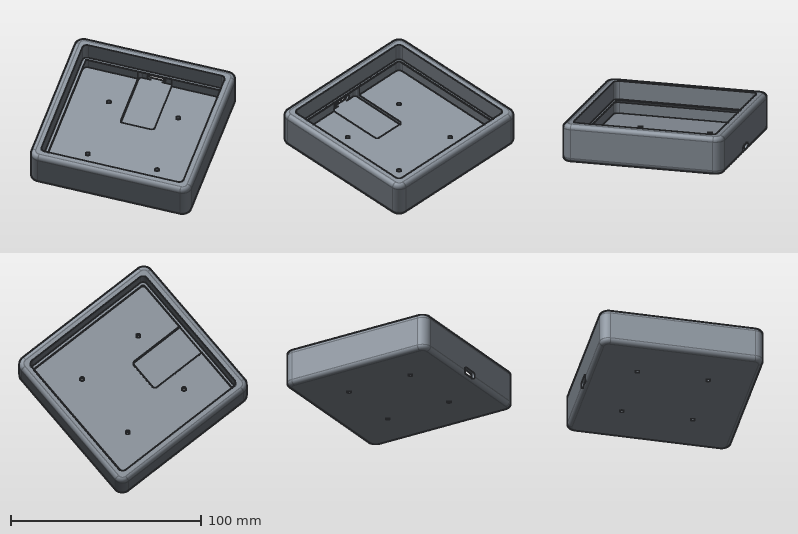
import cadquery as cq

side = 88.2
height = 20.6
corner_radius = 5.0
edge_radius = 2.5

wall = 5.0
lip_width = 1.8
lip_top_depth = 10.0
floor_thickness = 3.0
cavity_corner_radius = 2.5

hole_diameter = 2.2
hole_spacing = 38.1

pocket_width = 18.6
pocket_front_y = 7.1
pocket_depth = 2.0
pocket_recess = 3.0
pocket_corner_radius = 1.5

slot_length = 10.0
slot_height = 3.5

opening_side = side - 2 * wall
lip_z = height - lip_top_depth
pocket_floor_z = floor_thickness - pocket_depth
slot_center_z = pocket_floor_z + slot_height / 2
pocket_top_z = lip_z - lip_width


def rounded_block(width, length, bottom_z, top_z, radius):
    """Centred upright block with rounded vertical edges."""
    block = cq.Workplane("XY").workplane(offset=bottom_z).rect(width, length).extrude(top_z - bottom_z)
    return block.edges("|Z").fillet(radius)


def outer_shell():
    shell = rounded_block(side, side, 0, height, corner_radius)
    return shell.faces("<Z or >Z").edges().fillet(edge_radius)


def cavity():
    upper = rounded_block(opening_side, opening_side, lip_z, height, cavity_corner_radius)
    lower = rounded_block(opening_side, opening_side, floor_thickness, lip_z, cavity_corner_radius)
    lower = lower.faces(">Z").edges().chamfer(lip_width)
    return upper.union(lower)


def screw_holes():
    return (
        cq.Workplane("XY")
        .rect(hole_spacing, hole_spacing, forConstruction=True)
        .vertices()
        .circle(hole_diameter / 2)
        .extrude(floor_thickness)
    )


def connector_pocket():
    back_y = opening_side / 2 + pocket_recess
    length = back_y - pocket_front_y
    pocket = rounded_block(pocket_width, length, pocket_floor_z, pocket_top_z, pocket_corner_radius)
    return pocket.translate((0, (back_y + pocket_front_y) / 2, 0))


def connector_slot():
    return (
        cq.Workplane("XZ")
        .center(0, slot_center_z)
        .workplane(offset=-opening_side / 2)
        .slot2D(slot_length, slot_height)
        .extrude(-wall)
    )


result = outer_shell().cut(cavity()).cut(screw_holes()).cut(connector_pocket()).cut(connector_slot())